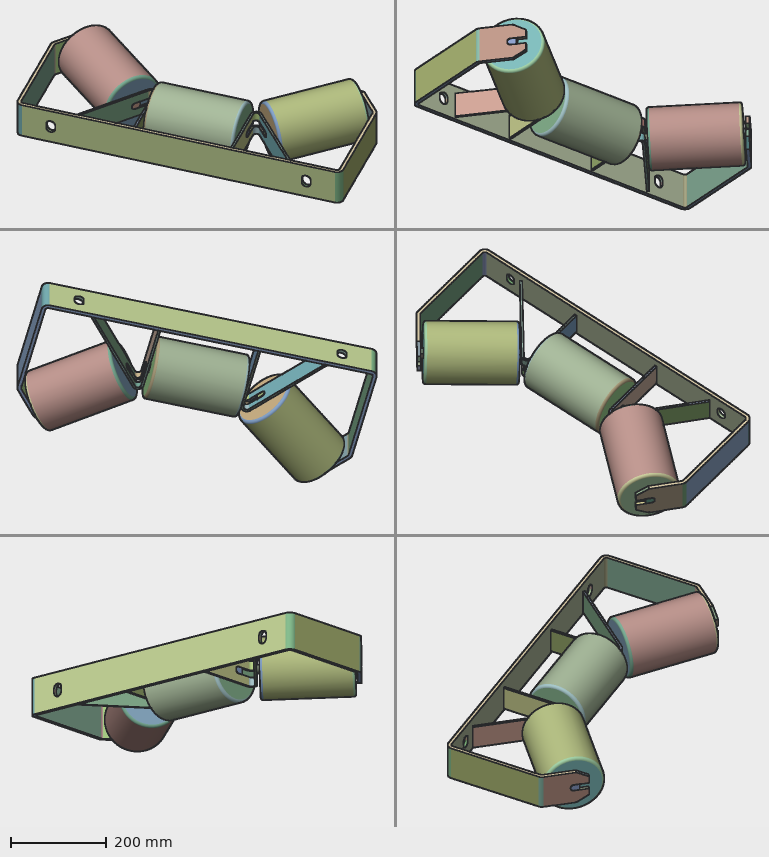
import cadquery as cq
import math


roller_diameter = 133.0
roller_length = 200.0
roller_edge_radius = 6.0
end_gap = 5.0
wing_angle = 40.0
wing_tilt = 2.0
centre_axis_height = -7.5
wing_centre_height = -4.3

shaft_width = 15.0
shaft_depth = 20.0
shaft_recess = 0.5
slot_reach = 60.0

frame_length = 720.0
frame_height = 80.0
frame_thickness = 8.0
frame_outer_bend = 14.0
arm_tip_above_axis = 30.0
arm_chamfer_height = 16.0
arm_chamfer_slope = 30.0
mount_slot_spacing = 565.0
mount_slot_width = 20.0
mount_slot_length = 28.0

bracket_thickness = 5.0
bracket_height = 55.0
bracket_outer_bend = 12.0
bracket_bend_y = 156.15
axis_below_bend = 30.5
weld_sink = 0.5

sin_wing = math.sin(math.radians(wing_angle))
cos_wing = math.cos(math.radians(wing_angle))
half_length = roller_length / 2
bracket_bend_x = -(half_length + end_gap + bracket_outer_bend)
centre_axis_y = bracket_bend_y - axis_below_bend

wing_offset = bracket_outer_bend + end_gap + half_length
wing_x = bracket_bend_x - wing_offset * cos_wing - axis_below_bend * sin_wing
wing_y = bracket_bend_y + wing_offset * sin_wing - axis_below_bend * cos_wing

arm_offset = half_length + end_gap + frame_thickness / 2
arm_axis_x = wing_x - arm_offset * cos_wing
arm_axis_y = wing_y + arm_offset * sin_wing
arm_tip_x = arm_axis_x + arm_tip_above_axis * sin_wing
arm_tip_y = arm_axis_y + arm_tip_above_axis * cos_wing


def wing_plane():
    """Plane on the left wing roller's middle: normal along its axis, X up the arm."""
    tilt = math.radians(wing_tilt)
    axis = (-cos_wing * math.cos(tilt), sin_wing * math.cos(tilt), math.sin(tilt))
    return cq.Plane(origin=(wing_x, wing_y, wing_centre_height), xDir=(sin_wing, cos_wing, 0), normal=axis)


def centre_plane():
    """Plane on the centre roller's middle: normal along its axis, X towards +Y."""
    return cq.Plane(origin=(0, centre_axis_y, centre_axis_height), xDir=(0, 1, 0), normal=(-1, 0, 0))


def shaft_bar(plane, top, start, end):
    """Shaft section reaching from its rounded bottom to `top`, between two stations on the axis."""
    half_width = shaft_width / 2
    bottom = -shaft_depth / 2
    return (
        cq.Workplane(plane)
        .workplane(offset=start)
        .moveTo(top, half_width)
        .lineTo(bottom + half_width, half_width)
        .threePointArc((bottom, 0), (bottom + half_width, -half_width))
        .lineTo(top, -half_width)
        .close()
        .extrude(end - start)
    )


def roller(plane, front_plate, back_plate):
    """Roller with rounded rims and shaft ends reaching through the plates beside it."""
    drum = (
        cq.Workplane(plane)
        .workplane(offset=-half_length)
        .circle(roller_diameter / 2)
        .extrude(roller_length)
        .edges("%CIRCLE")
        .fillet(roller_edge_radius)
    )
    back_end = -(half_length + end_gap + back_plate - shaft_recess)
    front_end = half_length + end_gap + front_plate - shaft_recess
    return drum.union(shaft_bar(plane, shaft_depth / 2, back_end, front_end))


def swept_strip(path, start_x, start_y, start_normal, thickness, height, middle_z):
    """Flat strip of the given section swept along a plan path."""
    section = cq.Plane(origin=(start_x, start_y, middle_z), xDir=(0, 0, 1), normal=start_normal)
    return cq.Workplane(section).rect(height, thickness).sweep(path)


def frame_strip():
    """Left half of the outer strip: back plate, side plate and sloping arm."""
    radius = frame_outer_bend - frame_thickness / 2
    middle = frame_thickness / 2
    side_x = -frame_length / 2 + middle
    bend_x = side_x + radius
    corner_y = arm_axis_y - (arm_axis_x - side_x) * cos_wing / sin_wing
    bend_y = corner_y - radius * math.tan(math.radians(wing_angle / 2))
    path = (
        cq.Workplane("XY")
        .moveTo(0, middle)
        .lineTo(bend_x, middle)
        .tangentArcPoint((side_x, middle + radius), relative=False)
        .lineTo(side_x, bend_y)
        .tangentArcPoint((bend_x - radius * cos_wing, bend_y + radius * sin_wing), relative=False)
        .lineTo(arm_tip_x, arm_tip_y)
    )
    return swept_strip(path, 0, middle, (-1, 0, 0), frame_thickness, frame_height, 0)


def arm_tip_corners():
    """The two corners cut off the arm tip."""
    run = arm_chamfer_height / math.tan(math.radians(arm_chamfer_slope))
    edge = frame_height / 2
    tip = cq.Plane(
        origin=(arm_tip_x, arm_tip_y, 0), xDir=(sin_wing, cos_wing, 0), normal=(-cos_wing, sin_wing, 0)
    )
    corners = cq.Workplane(tip)
    for side in (-1, 1):
        corners = corners.polyline(
            [(-run, side * edge), (0, side * edge), (0, side * (edge - arm_chamfer_height))]
        ).close()
    return corners.extrude(frame_thickness, both=True)


def mount_slot():
    """Upright mounting slot through the left part of the back plate."""
    return (
        cq.Workplane("XZ")
        .center(-mount_slot_spacing / 2, 0)
        .slot2D(mount_slot_length, mount_slot_width, 90)
        .extrude(-frame_thickness)
    )


def bracket_strip():
    """Left inner bracket: upright leg, bend, and leg sloping back down to the back plate."""
    radius = bracket_outer_bend - bracket_thickness / 2
    foot_y = frame_thickness - weld_sink
    leg_x = bracket_bend_x + radius
    slope_x = bracket_bend_x - radius * cos_wing
    slope_y = bracket_bend_y + radius * sin_wing
    slope_end_y = foot_y + bracket_thickness / 2 * sin_wing
    slope_end_x = slope_x - (slope_y - slope_end_y) * sin_wing / cos_wing
    path = (
        cq.Workplane("XY")
        .moveTo(leg_x, foot_y)
        .lineTo(leg_x, bracket_bend_y)
        .tangentArcPoint((slope_x, slope_y), relative=False)
        .lineTo(slope_end_x, slope_end_y)
    )
    return swept_strip(
        path, leg_x, foot_y, (0, 1, 0), bracket_thickness, bracket_height, centre_axis_height
    )


def shaft_slots():
    """Open slots for the shafts: in the arm tip and through both legs and the bend of the bracket."""
    bracket_end = half_length + end_gap + bracket_outer_bend
    arm_end = half_length + end_gap + 2 * frame_thickness
    slots = shaft_bar(wing_plane(), slot_reach, half_length, arm_end)
    slots = slots.union(shaft_bar(wing_plane(), slot_reach, -bracket_end, -half_length))
    return slots.union(shaft_bar(centre_plane(), slot_reach, half_length, bracket_end))


def frame():
    """Frame with its brackets and the fixed centre roller."""
    bracket = bracket_strip().cut(shaft_slots())
    outer = frame_strip().cut(arm_tip_corners()).cut(shaft_slots()).cut(mount_slot())
    half = outer.union(bracket)
    centre_roller = roller(centre_plane(), bracket_thickness, bracket_thickness)
    return half.union(half.mirror("YZ")).union(centre_roller)


station = frame()
left_roller = roller(wing_plane(), frame_thickness, bracket_thickness)
right_roller = left_roller.mirror("YZ")

result = cq.Compound.makeCompound([station.val(), left_roller.val(), right_roller.val()])